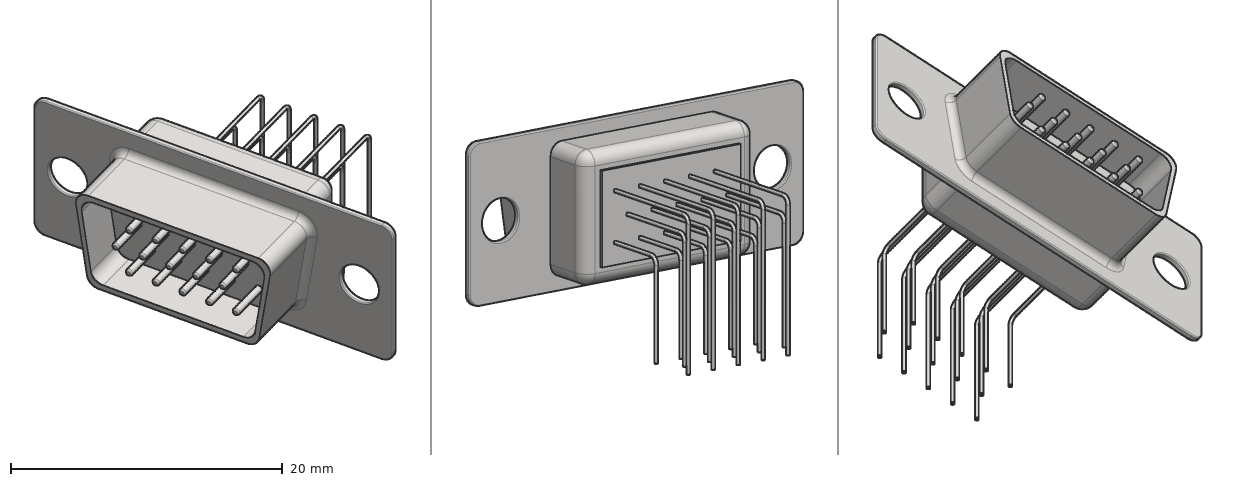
import cadquery as cq
import math


flange_length = 30.8
flange_height = 12.5
flange_thickness = 0.5
flange_corner_radius = 1.0
flange_edge_radius = 0.1
mount_hole_diameter = 3.3
mount_hole_spacing = 25.0

shell_width = 16.65
shell_height = 8.32
shell_depth = 5.75
shell_corner_radius = 1.05
shell_side_angle = 8.5
shell_wall = 0.5
shell_root_radius = 0.6
socket_depth = 3.65

body_width = 15.83
body_height = 10.3
body_depth = 4.05
body_radius = 1.05
pad_width = 12.75
pad_height = 7.35
pad_thickness = 0.25

pins_per_row = 5
lead_span = 10.32
row_pitch = 1.97
pin_diameter = 0.6
pin_tip_radius = 0.15
pin_recess = 0.3
lead_diameter = 0.3
lead_tip_chamfer = 0.05
lead_bend_radius = 0.62
lead_tip_z = -10.13
top_lead_y = 13.7

pin_pitch = 2 * lead_span / (2 * pins_per_row - 1)
body_back = flange_thickness + body_depth
socket_floor = socket_depth - shell_depth


def block(width, height, y_front, depth):
    """Rectangular block centred on the Y axis, running from y_front toward +Y."""
    return cq.Workplane("XZ", origin=(0, y_front, 0)).rect(width, height).extrude(-depth)


def d_prism(inset, y_front, depth):
    """D-shaped prism with rounded corners, its walls moved inward by inset."""
    slope = math.tan(math.radians(shell_side_angle))
    half_corner_angle = math.radians(90 - shell_side_angle) / 2
    half_height = shell_height / 2 - inset
    arc_centre_x = shell_width / 2 - inset - shell_corner_radius
    top_x = arc_centre_x + shell_corner_radius / math.tan(half_corner_angle)
    bottom_x = top_x - 2 * half_height * slope
    corners = [
        (-top_x, half_height),
        (top_x, half_height),
        (bottom_x, -half_height),
        (-bottom_x, -half_height),
    ]
    outline = cq.Workplane("XZ", origin=(0, y_front, 0)).polyline(corners).close()
    return outline.extrude(-depth).edges("|Y").fillet(shell_corner_radius)


def make_flange():
    flange = block(flange_length, flange_height, 0, flange_thickness)
    flange = flange.edges("|Y").fillet(flange_corner_radius)
    holes = (
        cq.Workplane("XZ")
        .pushPoints([(-mount_hole_spacing / 2, 0), (mount_hole_spacing / 2, 0)])
        .circle(mount_hole_diameter / 2)
        .extrude(-flange_thickness)
    )
    return flange.cut(holes).faces("<Y or >Y").edges().fillet(flange_edge_radius)


def add_shell(flange):
    """Add the D shell, blend its root into the flange and hollow the socket."""
    shell = flange.union(d_prism(0, -shell_depth, shell_depth))
    root_zone = cq.selectors.BoxSelector(
        (-shell_width / 2, -flange_edge_radius / 2, -shell_height / 2 - shell_corner_radius),
        (shell_width / 2, flange_edge_radius / 2, shell_height / 2 + shell_corner_radius),
    )
    shell = shell.edges(root_zone).fillet(shell_root_radius)
    return shell.cut(d_prism(shell_wall, -shell_depth, socket_depth))


def make_rear_body():
    body = block(body_width, body_height, flange_thickness, body_depth)
    body = body.edges("|Y or >Y").fillet(body_radius)
    return body.union(block(pad_width, pad_height, body_back, pad_thickness))


def make_pin(x, z):
    """Straight mating pin standing on the socket floor, with a rounded tip."""
    length = socket_depth - pin_recess
    pin = cq.Workplane("XZ", origin=(x, socket_floor, z)).circle(pin_diameter / 2).extrude(length)
    return pin.faces("<Y").edges().fillet(pin_tip_radius)


def make_lead(x, z, lead_y):
    """Round lead running back from the pad and bending down through 90 degrees."""
    bend_mid = lead_bend_radius * math.sqrt(0.5)
    bend_y = lead_y - lead_bend_radius
    bend_z = z - lead_bend_radius
    path = (
        cq.Workplane("YZ", origin=(x, 0, 0))
        .moveTo(body_back, z)
        .lineTo(bend_y, z)
        .threePointArc((bend_y + bend_mid, bend_z + bend_mid), (lead_y, bend_z))
        .lineTo(lead_y, lead_tip_z)
    )
    lead = cq.Workplane("XZ", origin=(x, body_back, z)).circle(lead_diameter / 2).sweep(path)
    return lead.faces("<Z").chamfer(lead_tip_chamfer)


result = add_shell(make_flange()).union(make_rear_body())

for row in range(3):
    row_z = (1 - row) * row_pitch
    row_shift = -pin_pitch / 4 if row == 1 else pin_pitch / 4
    for column in range(pins_per_row):
        pin_x = (column - (pins_per_row - 1) / 2) * pin_pitch + row_shift
        result = result.union(make_pin(pin_x, row_z))
        result = result.union(make_lead(pin_x, row_z, top_lead_y - row * row_pitch))